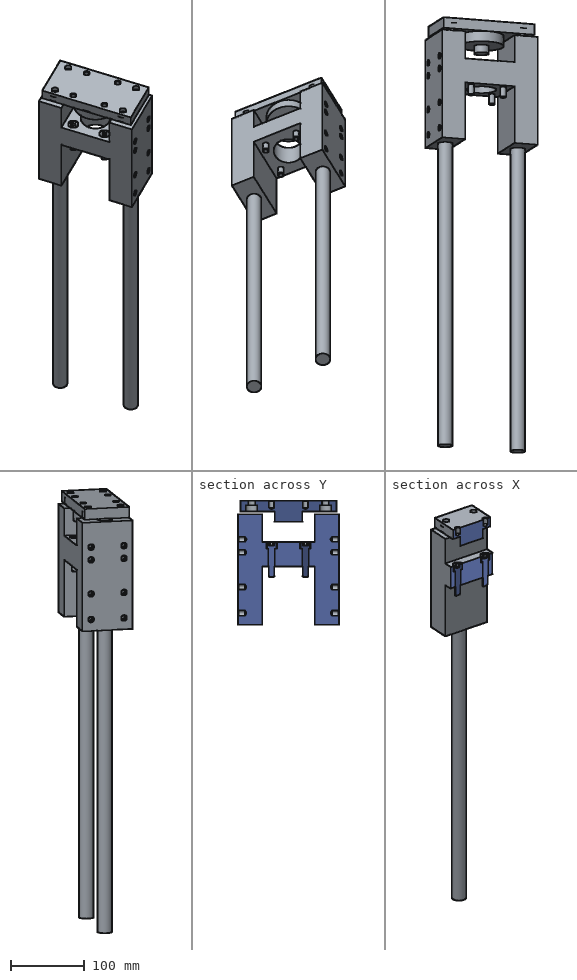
import cadquery as cq
import math

total_height = 588.0
plate_thickness = 14.5
plate_gap = 3.5
housing_height = 150.0

housing_length = 137.0
housing_width = 70.0
leg_gap = 70.5
crossbar_drop = 37.5
crossbar_thickness = 33.5
actuator_bore_diameter = 40.0

plate_length = 130.5
plate_width = 62.5
rod_diameter = 20.0
rod_pitch = 104.0
boss_diameter = 60.0
boss_height = 14.0
stub_diameter = 20.0
stub_height = 10.5

bolt_pitch = 46.0
plate_bolt_pitch = 100.0
clearance_diameter = 9.0
plate_counterbore_diameter = 15.0
plate_counterbore_depth = 8.0

countersink_diameter = 8.0
core_diameter = 6.5
countersink_depth = 0.9
core_depth = 9.5
drill_point_angle = 118
side_hole_drops = [34.0, 52.0, 99.0, 134.0]

screw_diameter = 8.0
screw_projection = 14.0
screw_tip_chamfer = 1.0
head_diameter = 13.0
head_height = 8.0
socket_width = 6.0
socket_depth = 4.0
counterbore_diameter = 14.0
counterbore_depth = 9.0

plate_bottom = total_height - plate_thickness
housing_top = plate_bottom - plate_gap
housing_bottom = housing_top - housing_height
crossbar_top = housing_top - crossbar_drop
crossbar_bottom = crossbar_top - crossbar_thickness
boss_bottom = plate_bottom - boss_height
stub_bottom = boss_bottom - stub_height
screw_seat = crossbar_top - counterbore_depth
screw_end = crossbar_bottom - screw_projection

rod_positions = [(-rod_pitch / 2, 0), (rod_pitch / 2, 0)]


def rectangle_corners(length, width):
    """Corner points of a rectangle centred on the Z axis."""
    return [(sx * length / 2, sy * width / 2) for sx in (-1, 1) for sy in (-1, 1)]


screw_positions = rectangle_corners(bolt_pitch, bolt_pitch)


def block(length, width, bottom, top):
    """Box centred on the Z axis between two levels."""
    return cq.Workplane("XY", origin=(0, 0, bottom)).box(
        length, width, top - bottom, centered=(True, True, False))


def cylinders(points, diameter, bottom, top):
    """Vertical cylinders between two levels, one at each point."""
    return (cq.Workplane("XY", origin=(0, 0, bottom))
            .pushPoints(points).circle(diameter / 2).extrude(top - bottom))


def tapped_hole_cutter(start, direction):
    """Tapped blind hole with a conical drill point, entering at start."""
    core_radius = core_diameter / 2
    countersink_radius = countersink_diameter / 2
    point_length = core_radius / math.tan(math.radians(drill_point_angle / 2))
    profile = (cq.Workplane("XZ")
               .polyline([(0, 0), (countersink_radius, 0),
                          (core_radius, countersink_depth), (core_radius, core_depth),
                          (0, core_depth + point_length)])
               .close())
    upright = profile.revolve(360, (0, 0, 0), (0, 1, 0)).val()
    plane = cq.Plane(origin=start, normal=direction)
    return upright.moved(cq.Location(plane))


def make_housing():
    """H-shaped housing with rod bores, seats for the cap screws and tapped leg sides."""
    housing = block(housing_length, housing_width, housing_bottom, housing_top)
    housing = housing.cut(block(leg_gap, housing_width, crossbar_top, housing_top))
    housing = housing.cut(block(leg_gap, housing_width, housing_bottom, crossbar_bottom))
    housing = housing.cut(cylinders(rod_positions, rod_diameter, housing_bottom, housing_top))
    housing = housing.cut(cylinders(screw_positions, screw_diameter, crossbar_bottom, crossbar_top))
    housing = housing.cut(cylinders(screw_positions, counterbore_diameter, screw_seat, crossbar_top))
    housing = housing.cut(cylinders([(0, 0)], actuator_bore_diameter, crossbar_bottom, crossbar_top))
    for side in (-1, 1):
        for drop in side_hole_drops:
            for y in (-bolt_pitch / 2, bolt_pitch / 2):
                start = (side * housing_length / 2, y, housing_top - drop)
                housing = housing.cut(cq.Workplane(tapped_hole_cutter(start, (-side, 0, 0))))
    return housing


def make_slider():
    """End plate in one piece with its guide rods, boss and stub."""
    slider = block(plate_length, plate_width, plate_bottom, total_height)
    slider = slider.union(cylinders(rod_positions, rod_diameter, 0, plate_bottom))
    slider = slider.union(cylinders([(0, 0)], boss_diameter, boss_bottom, plate_bottom))
    slider = slider.union(cylinders([(0, 0)], stub_diameter, stub_bottom, boss_bottom))
    corner_holes = rectangle_corners(plate_bolt_pitch, bolt_pitch)
    slider = slider.cut(cylinders(corner_holes, clearance_diameter, plate_bottom, total_height))
    counterbore_top = plate_bottom + plate_counterbore_depth
    slider = slider.cut(cylinders(corner_holes, plate_counterbore_diameter, plate_bottom, counterbore_top))
    for x, y in screw_positions:
        slider = slider.cut(cq.Workplane(tapped_hole_cutter((x, y, total_height), (0, 0, -1))))
    return slider


def make_screw(position):
    """Socket-head cap screw, head up, seated in the crossbar counterbore."""
    shank = cylinders([position], screw_diameter, screw_end, screw_seat)
    shank = shank.faces("<Z").chamfer(screw_tip_chamfer)
    head = cylinders([position], head_diameter, screw_seat, screw_seat + head_height)
    screw = shank.union(head)
    socket_diameter = socket_width / math.cos(math.pi / 6)
    return (screw.faces(">Z").workplane(origin=(*position, 0))
            .polygon(6, socket_diameter).cutBlind(-socket_depth))


housing = make_housing()
slider = make_slider()
screws = [make_screw(position) for position in screw_positions]

result = cq.Compound.makeCompound(
    [housing.val(), slider.val(), *[screw.val() for screw in screws]])